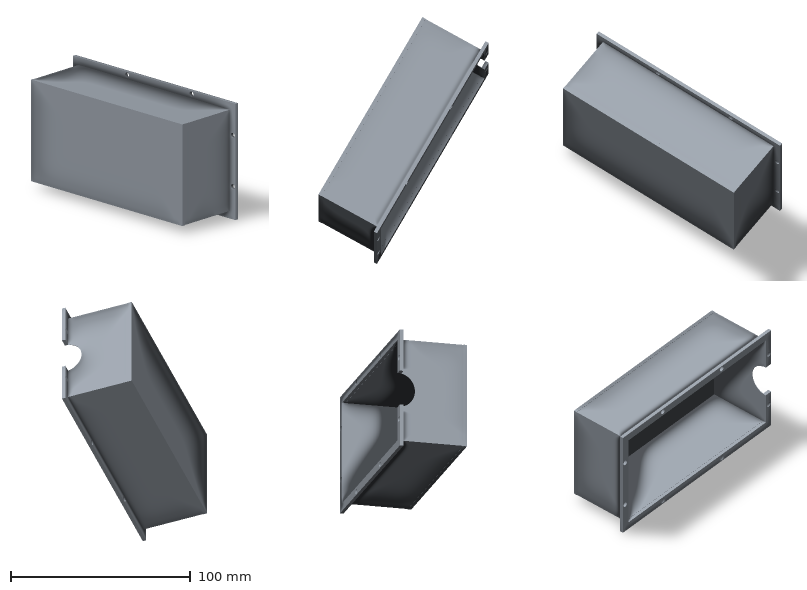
import cadquery as cq

length = 126.0
depth = 40.0
height = 68.0

sheet = 2.0
flange_width = 4.4
box_length = length - 2 * flange_width
box_height = height - 2 * flange_width
plate_overhang = 0.1
opening_lip = 0.19
wall = 0.32

hole_diameter = 3.0
hole_inset = 2.0
long_side_hole_xs = (-21.0, 29.0)
left_hole_z = 18.0
right_hole_z = 15.0

cable_radius = 10.0

front_y = -depth / 2
back_y = depth / 2


def slab(size_x, size_z, y_start, y_end):
    """Block centred on X and Z, spanning y_start to y_end."""
    thickness = y_end - y_start
    return cq.Workplane("XY").box(size_x, thickness, size_z).translate((0, (y_start + y_end) / 2, 0))


def make_shell():
    """Flange, box walls and slightly larger front plate, hollowed from the back."""
    flange = slab(length, height, back_y - sheet, back_y)
    box = slab(box_length, box_height, front_y + sheet, back_y)
    front_plate = slab(
        box_length + 2 * plate_overhang, box_height + 2 * plate_overhang, front_y, front_y + sheet
    )
    cavity = slab(box_length - 2 * wall, box_height - 2 * wall, front_y + sheet, back_y - sheet)
    opening = slab(box_length - 2 * opening_lip, box_height - 2 * opening_lip, back_y - sheet, back_y)
    return flange.union(box).union(front_plate).cut(cavity).cut(opening)


def make_flange_holes():
    """Through holes for the mounting screws on all four sides of the flange."""
    hole_x = length / 2 - hole_inset
    hole_z = height / 2 - hole_inset
    centres = []
    for side in (-1, 1):
        centres += [(x, side * hole_z) for x in long_side_hole_xs]
        centres.append((-hole_x, side * left_hole_z))
        centres.append((hole_x, side * right_hole_z))
    plane = cq.Workplane("XZ", origin=(0, back_y, 0))
    return plane.pushPoints(centres).circle(hole_diameter / 2).extrude(sheet)


def make_cable_opening():
    """Cylinder along X centred on the back face, through the left flange and wall."""
    plane = cq.Workplane("YZ", origin=(-length / 2, back_y, 0))
    return plane.circle(cable_radius).extrude(flange_width + wall)


result = make_shell().cut(make_flange_holes()).cut(make_cable_opening())